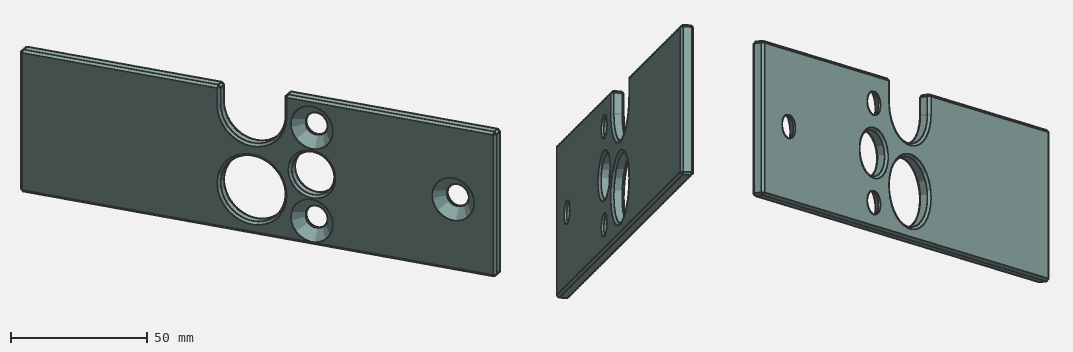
import cadquery as cq

length = 191.5
thickness = 5.0
height = 57.8
edge_chamfer = 1.0

left_step = 1.1
left = -length / 2
right = length / 2
bottom = -height / 2
right_top = height / 2
left_top = right_top - left_step

bore_x = -2.3
bore_diameter = 26.0
bore_radius = bore_diameter / 2
bore_z = -11.1
notch_center_z = 20.1

column_x = 21.8
column_z = -0.8
medium_bore_diameter = 17.0
screw_offset = 18.5

end_screw_x = 78.7
end_screw_z = (left_top + bottom) / 2

screw_diameter = 8.8
sink_diameter = 16.9
sink_angle = 90

screw_points = [
    (column_x, column_z + screw_offset),
    (column_x, column_z - screw_offset),
    (end_screw_x, end_screw_z),
]


def front_plane(plate):
    """Workplane on the front face, with local X along X and local Y along Z."""
    return plate.faces("<Y").workplane(origin=(0, 0, 0))


def make_plate():
    """Stepped plate with the notch and two plain bores, chamfered along its rims and corners."""
    plate = (
        cq.Workplane("XZ")
        .moveTo(left, bottom)
        .lineTo(right, bottom)
        .lineTo(right, right_top)
        .lineTo(bore_x + bore_radius, right_top)
        .lineTo(bore_x + bore_radius, notch_center_z)
        .threePointArc(
            (bore_x, notch_center_z - bore_radius),
            (bore_x - bore_radius, notch_center_z),
        )
        .lineTo(bore_x - bore_radius, left_top)
        .lineTo(left, left_top)
        .close()
        .extrude(thickness / 2, both=True)
    )
    plate = front_plane(plate).pushPoints([(bore_x, bore_z)]).hole(bore_diameter)
    plate = front_plane(plate).pushPoints([(column_x, column_z)]).hole(medium_bore_diameter)
    corner_min_z = notch_center_z + edge_chamfer
    corner_edges = plate.edges("|Y").filter(lambda edge: abs(edge.Center().z) > corner_min_z)
    rim_edges = plate.faces("<Y or >Y").edges()
    return rim_edges.add(corner_edges).chamfer(edge_chamfer)


def add_screw_holes(plate):
    """Through holes countersunk from the front face."""
    return (
        front_plane(plate)
        .pushPoints(screw_points)
        .cskHole(screw_diameter, sink_diameter, sink_angle)
    )


result = add_screw_holes(make_plate())